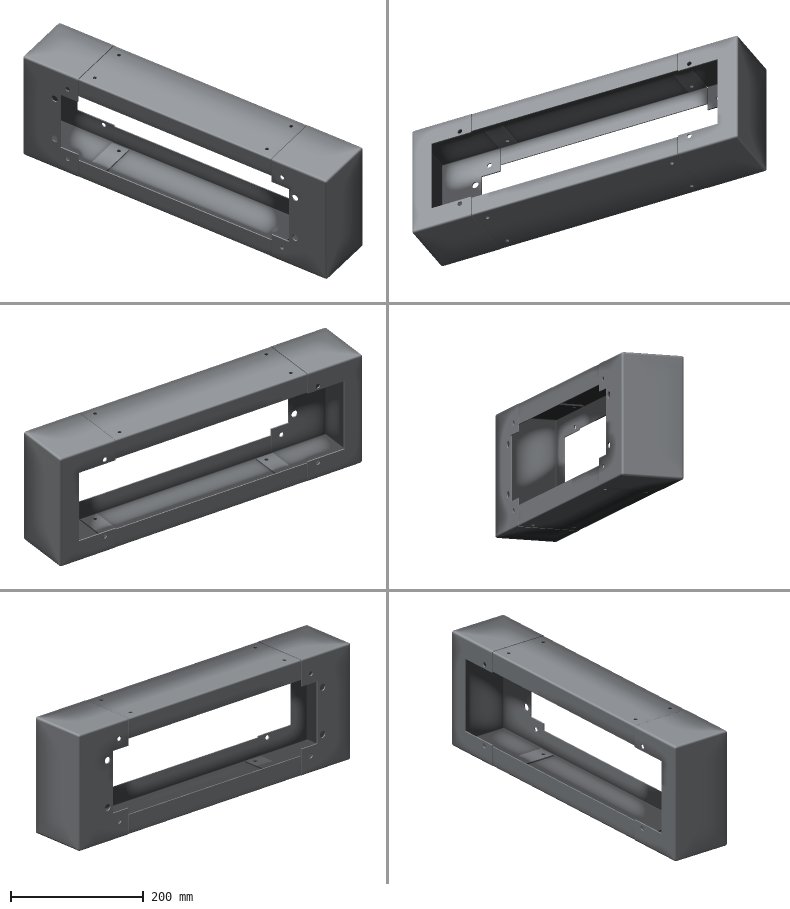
import cadquery as cq

LENGTH = 550.0
DEPTH = 100.0
HEIGHT = 190.0

CAP_LENGTH = 100.0
CAP_WALL = 2.0
CAP_BEND_RADIUS = 3.5
CAP_MOUTH_X = LENGTH / 2 - CAP_LENGTH

FRONT_WINDOW_DEPTH = 32.0
FRONT_WINDOW_HEIGHT = 102.0
BACK_WINDOW_DEPTH = 66.5
BACK_WINDOW_HEIGHT = 120.0

SCREW_HOLE_DIAMETER = 7.5
SCREW_HOLE_INSET = 18.5
SCREW_HOLE_SPACING = 134.0
MOUNT_HOLE_DIAMETER = 11.0
MOUNT_HOLE_INSET = 42.5
MOUNT_HOLE_SPACING = 77.0

RAIL_GAP = 0.95
RAIL_SIDE_INSET = 0.6
RAIL_FACE_INSET = 0.4
RAIL_WALL = 1.5
RAIL_BEND_RADIUS = 2.9
RAIL_FLANGE_HEIGHT = 32.5
RAIL_LENGTH = 2 * (CAP_MOUTH_X - RAIL_GAP)
RAIL_DEPTH = DEPTH - 2 * RAIL_SIDE_INSET
RAIL_BOTTOM_Z = RAIL_FACE_INSET - HEIGHT / 2

PLATE_LENGTH = 30.0
PLATE_DEPTH = 88.0
PLATE_THICKNESS = 2.5

RAIL_HOLE_DIAMETER = 6.0
RAIL_HOLE_OFFSET = 19.0
RAIL_HOLE_SPACING = 66.0

SIDES = (-1, 1)


def window_cutter(depth, height, side):
    """Block that opens the cap wall on the given Y side, from the mouth inwards."""
    return cq.Workplane("XY").box(2 * depth, DEPTH, height).translate((CAP_MOUTH_X, side * DEPTH / 2, 0))


def cap_hole_cutter(inset, spacing, diameter):
    """Pair of cylinders along Y, one above and one below mid-height."""
    points = [(CAP_MOUTH_X + inset, side * spacing / 2) for side in SIDES]
    return cq.Workplane("XZ").pushPoints(points).circle(diameter / 2).extrude(DEPTH, both=True)


def make_cap():
    """The cap at +X, with its mouth facing -X."""
    shell = (
        cq.Workplane("XY")
        .box(CAP_LENGTH, DEPTH, HEIGHT)
        .edges("|X or >X")
        .fillet(CAP_BEND_RADIUS)
        .faces("<X")
        .shell(-CAP_WALL)
        .translate((CAP_MOUTH_X + CAP_LENGTH / 2, 0, 0))
    )
    return (
        shell.cut(window_cutter(FRONT_WINDOW_DEPTH, FRONT_WINDOW_HEIGHT, -1))
        .cut(window_cutter(BACK_WINDOW_DEPTH, BACK_WINDOW_HEIGHT, 1))
        .cut(cap_hole_cutter(SCREW_HOLE_INSET, SCREW_HOLE_SPACING, SCREW_HOLE_DIAMETER))
        .cut(cap_hole_cutter(MOUNT_HOLE_INSET, MOUNT_HOLE_SPACING, MOUNT_HOLE_DIAMETER))
    )


def rail_hole_cutter():
    """Four cylinders along Z, shared by the rails and the joint plates."""
    hole_x = CAP_MOUTH_X - RAIL_HOLE_OFFSET
    return (
        cq.Workplane("XY")
        .rect(2 * hole_x, RAIL_HOLE_SPACING, forConstruction=True)
        .vertices()
        .circle(RAIL_HOLE_DIAMETER / 2)
        .extrude(HEIGHT, both=True)
    )


def rounded_bar(depth, bend_radius):
    """Bar along X with its two lower edges rounded, standing on Z = 0."""
    return (
        cq.Workplane("XY")
        .box(RAIL_LENGTH, depth, RAIL_FLANGE_HEIGHT, centered=(True, True, False))
        .edges("|X and <Z")
        .fillet(bend_radius)
    )


def make_rail():
    """The bottom rail, a channel opening upwards."""
    outside = rounded_bar(RAIL_DEPTH, RAIL_BEND_RADIUS)
    inside = rounded_bar(RAIL_DEPTH - 2 * RAIL_WALL, RAIL_BEND_RADIUS - RAIL_WALL)
    channel = outside.cut(inside.translate((0, 0, RAIL_WALL)))
    return channel.translate((0, 0, RAIL_BOTTOM_Z)).cut(rail_hole_cutter())


def make_joint_plate():
    """The joint plate on the bottom rail at its +X end."""
    return (
        cq.Workplane("XY")
        .box(PLATE_LENGTH, PLATE_DEPTH, PLATE_THICKNESS, centered=(True, True, False))
        .translate((CAP_MOUTH_X - PLATE_LENGTH / 2, 0, RAIL_BOTTOM_Z + RAIL_WALL))
        .cut(rail_hole_cutter())
    )


def with_mirrored_copies(bodies, plane):
    """The given bodies followed by a mirrored copy of each."""
    return bodies + [body.mirror(plane) for body in bodies]


caps = with_mirrored_copies([make_cap()], "YZ")
rails = with_mirrored_copies([make_rail()], "XY")
joint_plates = with_mirrored_copies(with_mirrored_copies([make_joint_plate()], "YZ"), "XY")

result = cq.Compound.makeCompound([body.solids().val() for body in caps + rails + joint_plates])